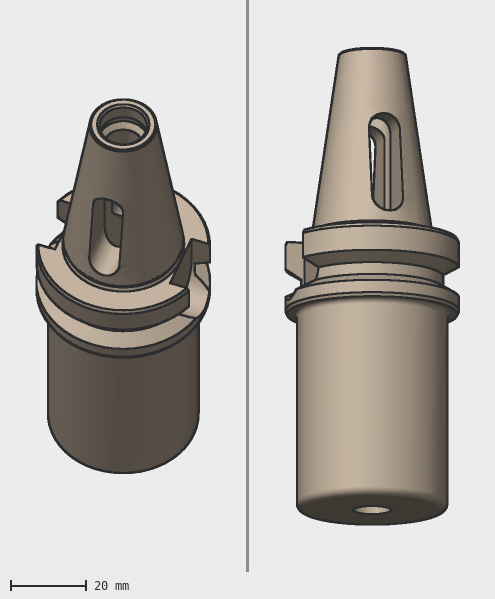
import cadquery as cq

TOTAL_HEIGHT = 123.4
TAPER_LENGTH = 48.4
FLANGE_GAP = 2.0
FLANGE_THICKNESS = 20.0
GAUGE_Z = TOTAL_HEIGHT - TAPER_LENGTH
FLANGE_TOP_Z = GAUGE_Z - FLANGE_GAP
FLANGE_BOTTOM_Z = FLANGE_TOP_Z - FLANGE_THICKNESS

GAUGE_RADIUS = 15.9
TAPER_SLOPE = 7 / 48
TAPER_TIP_RADIUS = GAUGE_RADIUS - TAPER_LENGTH * TAPER_SLOPE
TIP_CHAMFER = 0.4
NECK_RADIUS = 15.5
NECK_ROOT_FLARE = 0.6
NECK_ROOT_HEIGHT = 1.0

FLANGE_DIAMETER = 46.0
FLANGE_RADIUS = FLANGE_DIAMETER / 2
FLANGE_EDGE_CHAMFER = 1.0
FLANGE_EDGE_INSET = 0.5
GROOVE_RADIUS = 19.0
GROOVE_FLAT = 3.2
GROOVE_CENTRE_DEPTH = 11.6
GROOVE_CENTRE_Z = FLANGE_TOP_Z - GROOVE_CENTRE_DEPTH
GROOVE_SIDE_HEIGHT = 2.5

BODY_RADIUS = 20.0
BODY_EDGE_FILLET = 2.0
FLANGE_ROOT_FILLET = 1.4

BORE_RADIUS = 5.0
COUNTERBORE_RADIUS = 6.3
COUNTERBORE_DEPTH = 4.7
MOUTH_CHAMFER = 0.6
RELIEF_RADIUS = 6.7
RELIEF_HEIGHT = 2.1
CONE_DEPTH = RELIEF_RADIUS - BORE_RADIUS

EJECT_SLOT_WIDTH = 8.5
EJECT_SLOT_TOP_Z = 105.1
EJECT_SLOT_BOTTOM_Z = 78.0

KEYWAY_WIDTH = 16.0
KEYWAY_FLOOR_X = 16.3
KEYWAY_BOTTOM_Z = 55.7


def make_holder():
    """Revolve the outer profile around Z."""
    groove_top_z = GROOVE_CENTRE_Z + GROOVE_FLAT / 2
    groove_bottom_z = GROOVE_CENTRE_Z - GROOVE_FLAT / 2
    edge_radius = FLANGE_RADIUS - FLANGE_EDGE_INSET
    root_radius = BODY_RADIUS + FLANGE_ROOT_FILLET
    root_mid = FLANGE_ROOT_FILLET * (1 - 0.5**0.5)
    profile = (
        cq.Workplane("XZ")
        .lineTo(BODY_RADIUS - BODY_EDGE_FILLET, 0)
        .radiusArc((BODY_RADIUS, BODY_EDGE_FILLET), -BODY_EDGE_FILLET)
        .lineTo(BODY_RADIUS, FLANGE_BOTTOM_Z - FLANGE_ROOT_FILLET)
        .threePointArc(
            (BODY_RADIUS + root_mid, FLANGE_BOTTOM_Z - root_mid),
            (root_radius, FLANGE_BOTTOM_Z),
        )
        .lineTo(edge_radius, FLANGE_BOTTOM_Z)
        .lineTo(FLANGE_RADIUS, FLANGE_BOTTOM_Z + FLANGE_EDGE_CHAMFER)
        .lineTo(FLANGE_RADIUS, groove_bottom_z - GROOVE_SIDE_HEIGHT)
        .lineTo(GROOVE_RADIUS, groove_bottom_z)
        .lineTo(GROOVE_RADIUS, groove_top_z)
        .lineTo(FLANGE_RADIUS, groove_top_z + GROOVE_SIDE_HEIGHT)
        .lineTo(FLANGE_RADIUS, FLANGE_TOP_Z - FLANGE_EDGE_CHAMFER)
        .lineTo(edge_radius, FLANGE_TOP_Z)
        .lineTo(NECK_RADIUS + NECK_ROOT_FLARE, FLANGE_TOP_Z)
        .lineTo(NECK_RADIUS, FLANGE_TOP_Z + NECK_ROOT_HEIGHT)
        .lineTo(NECK_RADIUS, GAUGE_Z)
        .lineTo(GAUGE_RADIUS, GAUGE_Z)
        .lineTo(TAPER_TIP_RADIUS + TIP_CHAMFER * TAPER_SLOPE, TOTAL_HEIGHT - TIP_CHAMFER)
        .lineTo(TAPER_TIP_RADIUS - TIP_CHAMFER, TOTAL_HEIGHT)
        .lineTo(0, TOTAL_HEIGHT)
        .close()
    )
    return profile.revolve(360, (0, 0, 0), (0, 1, 0))


def make_bore():
    """Through bore with a counterbore, relief groove and cone at the taper tip."""
    counterbore_floor_z = TOTAL_HEIGHT - COUNTERBORE_DEPTH
    relief_floor_z = counterbore_floor_z - RELIEF_HEIGHT
    profile = (
        cq.Workplane("XZ")
        .lineTo(BORE_RADIUS, 0)
        .lineTo(BORE_RADIUS, relief_floor_z - CONE_DEPTH)
        .lineTo(RELIEF_RADIUS, relief_floor_z)
        .lineTo(RELIEF_RADIUS, counterbore_floor_z)
        .lineTo(COUNTERBORE_RADIUS, counterbore_floor_z)
        .lineTo(COUNTERBORE_RADIUS, TOTAL_HEIGHT - MOUTH_CHAMFER)
        .lineTo(COUNTERBORE_RADIUS + MOUTH_CHAMFER, TOTAL_HEIGHT)
        .lineTo(0, TOTAL_HEIGHT)
        .close()
    )
    return profile.revolve(360, (0, 0, 0), (0, 1, 0))


def make_ejection_slot():
    """Vertical round-ended slot passing through the taper along Y."""
    return (
        cq.Workplane("XZ")
        .center(0, (EJECT_SLOT_TOP_Z + EJECT_SLOT_BOTTOM_Z) / 2)
        .slot2D(EJECT_SLOT_TOP_Z - EJECT_SLOT_BOTTOM_Z, EJECT_SLOT_WIDTH, 90)
        .extrude(GAUGE_RADIUS, both=True)
    )


def make_keyway(side):
    """Round-bottomed keyway open at the flange top; side is -1 or +1 along X."""
    half_width = KEYWAY_WIDTH / 2
    arc_centre_z = KEYWAY_BOTTOM_Z + half_width
    return (
        cq.Workplane("YZ", origin=(side * KEYWAY_FLOOR_X, 0, 0))
        .moveTo(-half_width, FLANGE_TOP_Z)
        .lineTo(-half_width, arc_centre_z)
        .threePointArc((0, KEYWAY_BOTTOM_Z), (half_width, arc_centre_z))
        .lineTo(half_width, FLANGE_TOP_Z)
        .close()
        .extrude(side * FLANGE_RADIUS)
    )


result = make_holder().cut(make_bore()).cut(make_ejection_slot())
for keyway_side in (-1, 1):
    result = result.cut(make_keyway(keyway_side))